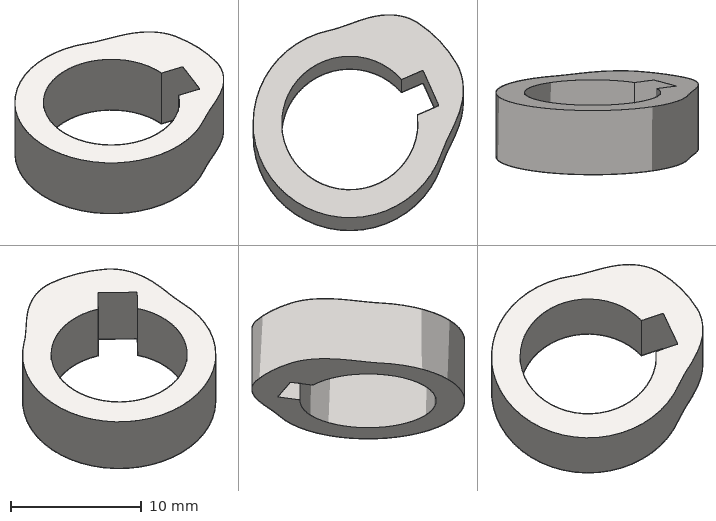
import cadquery as cq
import math

total_length = 16.79
total_width = 14.8
base_radius = total_width / 2
nose_radius = total_length - base_radius
thickness = 5.0
bore_radius = 5.2

rise_start = 17.0
rise_end = 65.0
fall_start = 92.0
fall_end = 138.0
flank_steps = 12

key_angle = 59.5
key_width = 3.0
key_floor = 6.78
key_corner_radius = 0.1


def polar(radius, degrees):
    """Point at a radius and an angle from the bore axis."""
    angle = math.radians(degrees)
    return (radius * math.cos(angle), radius * math.sin(angle))


def flank_points(start, end, start_radius, end_radius):
    """Points of a harmonic transition between two radii."""
    points = []
    for step in range(flank_steps + 1):
        share = step / flank_steps
        lift = (1 - math.cos(math.pi * share)) / 2
        radius = start_radius + (end_radius - start_radius) * lift
        points.append(polar(radius, start + (end - start) * share))
    return points


def add_flank(outline, points, start, end):
    """Continue the outline along a flank, tangent to the circles at both ends."""
    tangents = [polar(1, start + 90), polar(1, end + 90)]
    return outline.spline(points[1:], tangents=tangents, includeCurrent=True)


def make_cam():
    rise = flank_points(rise_start, rise_end, base_radius, nose_radius)
    fall = flank_points(fall_start, fall_end, nose_radius, base_radius)
    nose_middle = polar(nose_radius, (rise_end + fall_start) / 2)
    base_middle = polar(base_radius, (rise_start + fall_end) / 2 + 180)

    outline = cq.Workplane("XY").moveTo(*rise[0])
    outline = add_flank(outline, rise, rise_start, rise_end)
    outline = outline.threePointArc(nose_middle, fall[0])
    outline = add_flank(outline, fall, fall_start, fall_end)
    outline = outline.threePointArc(base_middle, rise[0])
    return outline.close().extrude(thickness)


def make_keyway():
    slot = cq.Workplane("XY").box(key_floor, key_width, thickness, centered=(False, True, False))
    slot = slot.edges("|Z and >X").fillet(key_corner_radius)
    return slot.rotate((0, 0, 0), (0, 0, 1), key_angle)


bore = cq.Workplane("XY").circle(bore_radius).extrude(thickness)
result = make_cam().cut(bore).cut(make_keyway())